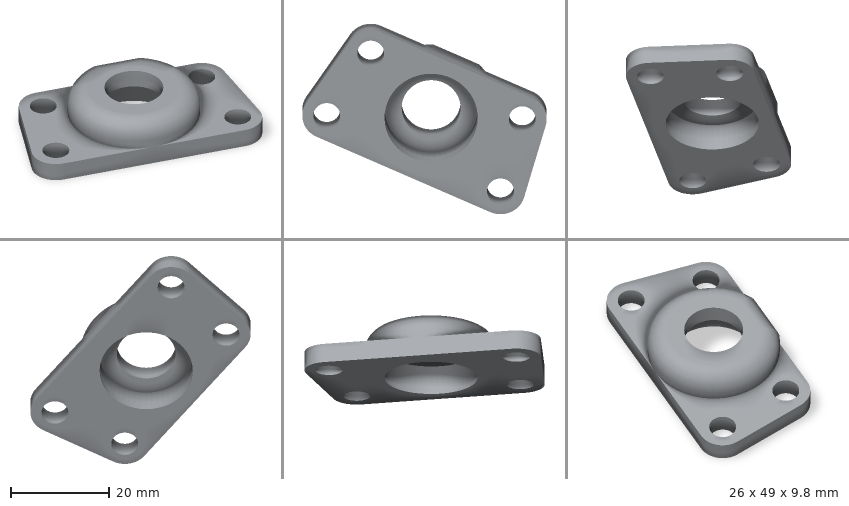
import cadquery as cq
import math

total_length = 49.0
plate_thickness = 3.95
corner_radius = 5.0
mount_hole_diameter = 5.5

total_height = 9.8
boss_radius = 13.5
flat_offset = 12.5
boss_edge_radius = 3.95
bore_diameter = 12.0

recess_diameter = 19.0
recess_depth = 6.0

short_side_x = corner_radius - flat_offset
short_side_y = 17.0
long_side_x = boss_radius - corner_radius
long_side_y = total_length / 2 - corner_radius
hole_centres = [
    (x, sign * y)
    for x, y in ((short_side_x, short_side_y), (long_side_x, long_side_y))
    for sign in (1, -1)
]


def corner_point(x, y, angle):
    """Point on the corner arc around (x, y), at an angle in radians from +X."""
    return (x + corner_radius * math.cos(angle), y + corner_radius * math.sin(angle))


def mirrored(point):
    return (point[0], -point[1])


def make_plate():
    slope = math.atan2(long_side_y - short_side_y, long_side_x - short_side_x)
    normal = slope + math.pi / 2
    long_start = corner_point(long_side_x, long_side_y, 0)
    long_middle = corner_point(long_side_x, long_side_y, normal / 2)
    long_end = corner_point(long_side_x, long_side_y, normal)
    short_start = corner_point(short_side_x, short_side_y, normal)
    short_middle = corner_point(short_side_x, short_side_y, (normal + math.pi) / 2)
    short_end = corner_point(short_side_x, short_side_y, math.pi)
    return (
        cq.Workplane("XY")
        .moveTo(*long_start)
        .threePointArc(long_middle, long_end)
        .lineTo(*short_start)
        .threePointArc(short_middle, short_end)
        .lineTo(*mirrored(short_end))
        .threePointArc(mirrored(short_middle), mirrored(short_start))
        .lineTo(*mirrored(long_end))
        .threePointArc(mirrored(long_middle), mirrored(long_start))
        .close()
        .extrude(plate_thickness)
    )


def make_boss():
    disc = (
        cq.Workplane("XY")
        .circle(boss_radius)
        .extrude(total_height)
        .faces(">Z")
        .edges()
        .fillet(boss_edge_radius)
    )
    block_length = flat_offset + 2 * boss_radius
    block_width = 4 * boss_radius
    block = (
        cq.Workplane("XY")
        .box(block_length, block_width, total_height, centered=(False, True, False))
        .translate((-flat_offset, 0, 0))
        .edges("<X and >Z")
        .fillet(boss_edge_radius)
    )
    return disc.intersect(block)


def round_cutter(centres, diameter, depth):
    """Cylinders rising from the underside."""
    return cq.Workplane("XY").pushPoints(centres).circle(diameter / 2).extrude(depth)


body = make_plate().union(make_boss())
body = body.cut(round_cutter(hole_centres, mount_hole_diameter, plate_thickness))
body = body.cut(round_cutter([(0, 0)], bore_diameter, total_height))
result = body.cut(round_cutter([(0, 0)], recess_diameter, recess_depth))